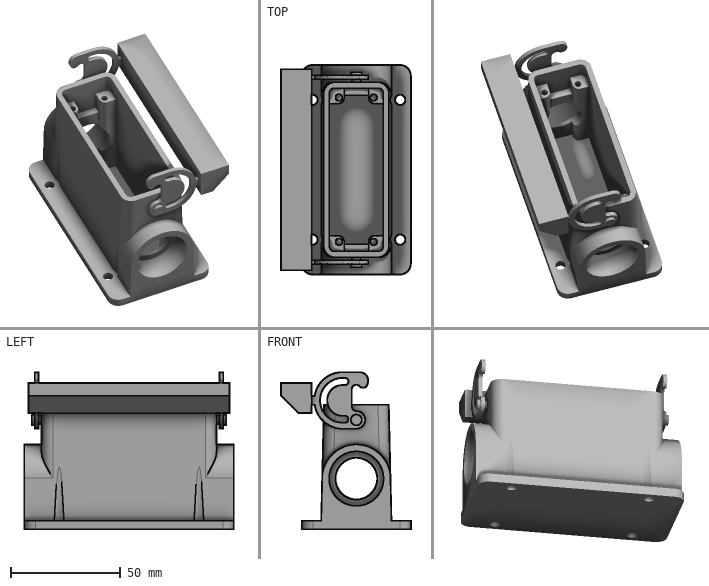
import cadquery as cq
import math

base_width = 50.0
base_length = 96.0
base_thickness = 4.0
base_corner_radius = 5.2
mount_hole_radius = 2.3
mount_hole_x = 20.1
mount_hole_y = 32.0
head_clearance_radius = 4.5

housing_height = 57.1
housing_bottom_half_width = 16.1
housing_top_half_width = 14.9
housing_half_length = 40.0
housing_corner_radius = 5.1

entry_height = 23.2
entry_bore_radius = 12.5
entry_bore_depth = 12.0
entry_hole_radius = 9.5

cavity_half_width = 12.4
cavity_half_length = 37.3
cavity_corner_radius = 2.5
post_height = 48.0
post_inner_x = 5.6
post_inner_y = 30.2
post_corner_radius = 2.8
screw_hole_x = 8.0
screw_hole_y = 33.0
screw_hole_radius = 1.5
screw_hole_depth = 9.6
end_wall_inner_y = 34.2

pivot_height = 50.1
pin_radius = 2.0
pin_head_radius = 2.5
pin_end_y = 44.5

plate_inner_y = 41.4
plate_thickness = 1.8
lever_outer_radius = 13.0
lever_center_x = -6.3
eye_radius = 4.0
throat_radius = 2.0
throat_center_z = 64.1
hook_center_x = 1.4
hook_radius = 4.0
hook_tip_radius = 2.0
slot_mean_radius = 8.6
slot_width = 3.2
slot_end_x = -5.2
neck_height = 4.1

grip_left_x = -34.5
grip_right_x = -20.4
grip_top = 67.0
grip_bottom = 53.2
grip_chamfer = 8.1
grip_half_length = 46.0

wall_run = housing_bottom_half_width - housing_top_half_width
wall_angle = math.atan2(wall_run, housing_height - base_thickness)
lever_center_z = pivot_height - eye_radius + lever_outer_radius
lever_top = lever_center_z + lever_outer_radius
plate_outer_y = plate_inner_y + plate_thickness


def housing_half_width(z):
    """Half width of the leaning side walls at height z."""
    return housing_bottom_half_width - (z - base_thickness) * math.tan(wall_angle)


entry_hood_radius = housing_half_width(entry_height) * math.cos(wall_angle)
entry_hood_top = entry_height + entry_hood_radius


def polar(center_x, center_z, radius, angle):
    """Point on a circle, angle in radians from +X toward +Z."""
    return (center_x + radius * math.cos(angle), center_z + radius * math.sin(angle))


def along_y(sketch, y_min, y_max):
    """Extrude a closed XZ outline from y_min to y_max."""
    return sketch.extrude(y_min - y_max).translate((0, y_min, 0))


def cylinder_y(radius, z, y_min, y_max):
    return along_y(cq.Workplane("XZ").center(0, z).circle(radius), y_min, y_max)


def box(x_min, x_max, y_min, y_max, z_min, z_max):
    size = (x_max - x_min, y_max - y_min, z_max - z_min)
    return cq.Workplane("XY").box(*size, centered=False).translate((x_min, y_min, z_min))


def both_ends(shape):
    """The shape together with its mirror image across the XZ plane."""
    return shape.union(shape.mirror("XZ"))


def all_corners(shape):
    """The shape repeated in the four corners by mirroring."""
    return both_ends(shape.union(shape.mirror("YZ")))


def make_base():
    flange = cq.Workplane("XY").rect(base_width, base_length).extrude(base_thickness)
    return flange.edges("|Z").fillet(base_corner_radius)


def make_upper_housing():
    outline = cq.Workplane("XZ").polyline([
        (-housing_bottom_half_width, base_thickness),
        (housing_bottom_half_width, base_thickness),
        (housing_top_half_width, housing_height),
        (-housing_top_half_width, housing_height),
    ]).close()
    body = along_y(outline, -housing_half_length, housing_half_length)
    return body.edges("(not |X) and (not |Y)").fillet(housing_corner_radius)


def make_entry_hood():
    right_tangent = polar(0, entry_height, entry_hood_radius, wall_angle)
    left_tangent = (-right_tangent[0], right_tangent[1])
    outline = (
        cq.Workplane("XZ")
        .moveTo(-housing_bottom_half_width, base_thickness)
        .lineTo(housing_bottom_half_width, base_thickness)
        .lineTo(*right_tangent)
        .threePointArc((0, entry_hood_top), left_tangent)
        .close()
    )
    return along_y(outline, -base_length / 2, base_length / 2)


def make_cavity():
    width = 2 * cavity_half_width
    length = 2 * cavity_half_length
    pocket = cq.Workplane("XY").workplane(offset=base_thickness).rect(width, length)
    pocket = pocket.extrude(housing_height - base_thickness)
    pocket = pocket.edges("|Z").fillet(cavity_corner_radius)

    post = box(post_inner_x, cavity_half_width, post_inner_y, cavity_half_length,
               base_thickness, post_height)
    post = post.edges("|Z and <X and <Y").fillet(post_corner_radius)
    end_wall = box(-post_inner_x, post_inner_x, end_wall_inner_y, cavity_half_length,
                   base_thickness, entry_hood_top)
    return pocket.cut(all_corners(post)).cut(both_ends(end_wall))


def make_screw_holes():
    hole = cq.Workplane("XY").circle(screw_hole_radius).extrude(screw_hole_depth)
    return all_corners(hole.translate((screw_hole_x, screw_hole_y, post_height - screw_hole_depth)))


def make_mount_holes():
    """Through holes, each with a vertical screw head clearance that bites into the side wall."""
    hole = cq.Workplane("XY").circle(mount_hole_radius).extrude(base_thickness)
    clearance = cq.Workplane("XY").circle(head_clearance_radius).extrude(housing_height - base_thickness)
    hole = hole.union(clearance.translate((0, 0, base_thickness)))
    return all_corners(hole.translate((mount_hole_x, mount_hole_y, 0)))


def make_entry_bores():
    bore = cylinder_y(entry_bore_radius, entry_height, base_length / 2 - entry_bore_depth, base_length / 2)
    passage = cylinder_y(entry_hole_radius, entry_height, -base_length / 2, base_length / 2)
    return both_ends(bore).union(passage)


def make_plate_outline():
    """Closed lever plate outline: half round on the left, pivot eye and hook on the right."""
    hook_center_z = lever_top - hook_radius

    hook_to_tip = hook_radius - hook_tip_radius
    throat_to_tip = throat_radius + hook_tip_radius
    hook_to_throat = math.hypot(hook_center_x, hook_center_z - throat_center_z)
    cosine = (hook_to_tip**2 + hook_to_throat**2 - throat_to_tip**2) / (2 * hook_to_tip * hook_to_throat)
    throat_direction = math.atan2(throat_center_z - hook_center_z, -hook_center_x)
    tip_angle = throat_direction + math.acos(cosine)
    tip_x, tip_z = polar(hook_center_x, hook_center_z, hook_to_tip, tip_angle)
    throat_angle = math.atan2(tip_z - throat_center_z, tip_x)
    throat_middle_angle = (throat_angle + math.pi) / 2
    tip_middle_angle = (tip_angle + throat_angle - math.pi) / 2
    hook_middle_angle = (math.pi / 2 + tip_angle) / 2

    eye_top = pivot_height + eye_radius
    eye_fillet_z = eye_top + throat_radius
    return (
        cq.Workplane("XZ")
        .moveTo(lever_center_x, lever_top)
        .lineTo(hook_center_x, lever_top)
        .threePointArc(
            polar(hook_center_x, hook_center_z, hook_radius, hook_middle_angle),
            polar(hook_center_x, hook_center_z, hook_radius, tip_angle),
        )
        .threePointArc(
            polar(tip_x, tip_z, hook_tip_radius, tip_middle_angle),
            polar(0, throat_center_z, throat_radius, throat_angle),
        )
        .threePointArc(
            polar(0, throat_center_z, throat_radius, throat_middle_angle),
            (-throat_radius, throat_center_z),
        )
        .lineTo(-throat_radius, eye_fillet_z)
        .threePointArc(polar(0, eye_fillet_z, throat_radius, 1.25 * math.pi), (0, eye_top))
        .threePointArc((eye_radius, pivot_height), (0, pivot_height - eye_radius))
        .lineTo(lever_center_x, pivot_height - eye_radius)
        .threePointArc((lever_center_x - lever_outer_radius, lever_center_z), (lever_center_x, lever_top))
        .close()
    )


def make_slot_outline():
    """Half-round slot with short straight ends, each closed by a semicircle."""
    outer = slot_mean_radius + slot_width / 2
    inner = slot_mean_radius - slot_width / 2
    end_tip_x = slot_end_x + slot_width / 2
    return (
        cq.Workplane("XZ")
        .moveTo(slot_end_x, lever_center_z + outer)
        .lineTo(lever_center_x, lever_center_z + outer)
        .threePointArc((lever_center_x - outer, lever_center_z), (lever_center_x, lever_center_z - outer))
        .lineTo(slot_end_x, lever_center_z - outer)
        .threePointArc((end_tip_x, lever_center_z - slot_mean_radius), (slot_end_x, lever_center_z - inner))
        .lineTo(lever_center_x, lever_center_z - inner)
        .threePointArc((lever_center_x - inner, lever_center_z), (lever_center_x, lever_center_z + inner))
        .lineTo(slot_end_x, lever_center_z + inner)
        .threePointArc((end_tip_x, lever_center_z + slot_mean_radius), (slot_end_x, lever_center_z + outer))
        .close()
    )


def make_plate():
    neck_end_x = lever_center_x - slot_mean_radius - slot_width
    neck = box(grip_right_x, neck_end_x, plate_inner_y, plate_outer_y,
               lever_center_z - neck_height / 2, lever_center_z + neck_height / 2)
    plate = along_y(make_plate_outline(), plate_inner_y, plate_outer_y)
    slot = along_y(make_slot_outline(), plate_inner_y, plate_outer_y)
    return plate.union(neck).cut(slot)


def make_grip():
    outline = cq.Workplane("XZ").polyline([
        (grip_left_x, grip_top),
        (grip_right_x, grip_top),
        (grip_right_x, grip_bottom),
        (grip_left_x + grip_chamfer, grip_bottom),
        (grip_left_x, grip_bottom + grip_chamfer),
    ]).close()
    return along_y(outline, -grip_half_length, grip_half_length)


def make_pin():
    shaft = cylinder_y(pin_radius, pivot_height, cavity_half_length, plate_outer_y)
    head = cylinder_y(pin_head_radius, pivot_height, plate_outer_y, pin_end_y)
    return shaft.union(head)


housing = make_base().union(make_upper_housing()).union(make_entry_hood())
housing = housing.cut(make_mount_holes())
housing = housing.cut(make_cavity())
housing = housing.cut(make_screw_holes())
housing = housing.cut(make_entry_bores())

lever = make_grip().union(both_ends(make_plate())).union(both_ends(make_pin()))

result = housing.union(lever)